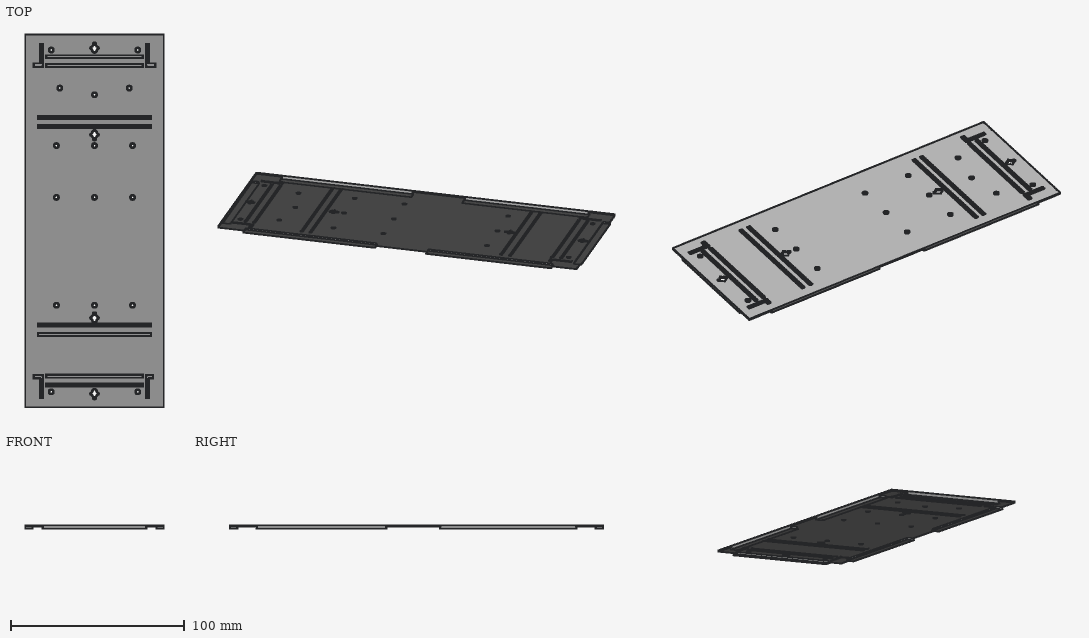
import cadquery as cq
import math

length = 215.0
width = 80.0
height = 2.2
sheet = 0.9

hole_diameter = 3.0
hole_throat_diameter = 2.0
wall_lean = (hole_diameter - hole_throat_diameter) / 2
wall_angle = math.degrees(math.atan2(wall_lean, sheet))

hem_depth = 4.5
hem_height = height - sheet
end_hem_length = 60.2
side_hem_spans = [(13.3, 92.5), (-92.2, -17.2)]

hole_column = 22.0
hole_rows = [43.5, 13.5, -48.5]
upper_pair_x = 20.0
upper_pair_y = 76.5
upper_centre_y = 72.7
corner_hole_x = 25.0
corner_hole_y = 98.5

slot_width = 2.0
inner_slot_length = 65.5
inner_slot_rows = [59.5, 54.5, -60.0, -65.4]
outer_slot_length = 56.0
outer_slot_rows = [94.5, 89.5]

l_inner_x = 29.7
l_outer_x = 35.3
l_short_outer_x = 34.0
l_near_y = 88.5
l_far_y = 102.1
l_upright_width = 2.0
l_foot_width = 2.4

diamond_half = 2.8
small_lobe_diameter = 2.0
small_lobe_offset = 2.4
large_lobe_diameter = 3.0
large_lobe_offset = 1.3
diamond_windows = [(99.5, 1), (49.7, -1), (-56.0, 1), (-99.5, -1)]


def top_face():
    """Workplane on top of the sheet."""
    return cq.Workplane("XY", origin=(0, 0, height))


def sink(profile):
    """Cutter through the sheet whose walls lean inwards going down from the profile on top."""
    return profile.extrude(-sheet, taper=wall_angle)


def drill(points, diameter):
    return sink(top_face().pushPoints(points).circle(diameter / 2))


def cross_slot(slot_length, y):
    return sink(top_face().center(0, y).rect(slot_length, slot_width))


def l_slot(x_side, y_side, outer_x):
    """L-shaped cutter in the corner given by the signs of x_side and y_side."""
    upright_x = l_inner_x + l_upright_width
    foot_y = l_near_y + l_foot_width
    corners = [
        (l_inner_x, l_near_y),
        (outer_x, l_near_y),
        (outer_x, foot_y),
        (upright_x, foot_y),
        (upright_x, l_far_y),
        (l_inner_x, l_far_y),
    ]
    placed = [(x_side * x, y_side * y) for x, y in corners]
    return sink(top_face().polyline(placed).close())


def diamond_window(y, direction):
    corners = [(diamond_half, y), (0, y + diamond_half), (-diamond_half, y), (0, y - diamond_half)]
    diamond = sink(top_face().polyline(corners).close())
    small_lobe = drill([(0, y + direction * small_lobe_offset)], small_lobe_diameter)
    large_lobe = drill([(0, y - direction * large_lobe_offset)], large_lobe_diameter)
    return diamond.union(small_lobe).union(large_lobe)


def hem(hem_length):
    """Hem under the sheet along +X from the sheet edge at X = 0, with leaning ends and inner edge."""
    top_length = hem_length - 2 * wall_lean
    top_depth = hem_depth - wall_lean
    bottom = cq.Workplane("XY").center(hem_depth / 2, 0).rect(hem_depth, hem_length)
    top = bottom.workplane(offset=hem_height).center(-wall_lean / 2, 0).rect(top_depth, top_length)
    return top.loft(ruled=True)


half_width = width / 2
half_length = length / 2
result = top_face().rect(width, length).extrude(-sheet)

end_hem = hem(end_hem_length)
for turn, y_edge in ((90, -half_length), (-90, half_length)):
    result = result.union(end_hem.rotate((0, 0, 0), (0, 0, 1), turn).translate((0, y_edge, 0)))

for y_start, y_end in side_hem_spans:
    side_hem = hem(y_end - y_start)
    y_middle = (y_start + y_end) / 2
    for turn, x_edge in ((0, -half_width), (180, half_width)):
        turned = side_hem.rotate((0, 0, 0), (0, 0, 1), turn)
        result = result.union(turned.translate((x_edge, y_middle, 0)))

hole_points = [(x, y) for y in hole_rows for x in (-hole_column, 0, hole_column)]
hole_points += [(-upper_pair_x, upper_pair_y), (upper_pair_x, upper_pair_y), (0, upper_centre_y)]
corner_points = [(x * corner_hole_x, y * corner_hole_y) for x in (-1, 1) for y in (-1, 1)]
result = result.cut(drill(hole_points, hole_diameter))
result = result.cut(drill(corner_points, hole_diameter))

for row in inner_slot_rows:
    result = result.cut(cross_slot(inner_slot_length, row))
for row in outer_slot_rows:
    result = result.cut(cross_slot(outer_slot_length, row))
    result = result.cut(cross_slot(outer_slot_length, -row))

for x_side, y_side in ((-1, 1), (1, 1), (-1, -1)):
    result = result.cut(l_slot(x_side, y_side, l_outer_x))
result = result.cut(l_slot(1, -1, l_short_outer_x))

for row, direction in diamond_windows:
    result = result.cut(diamond_window(row, direction))